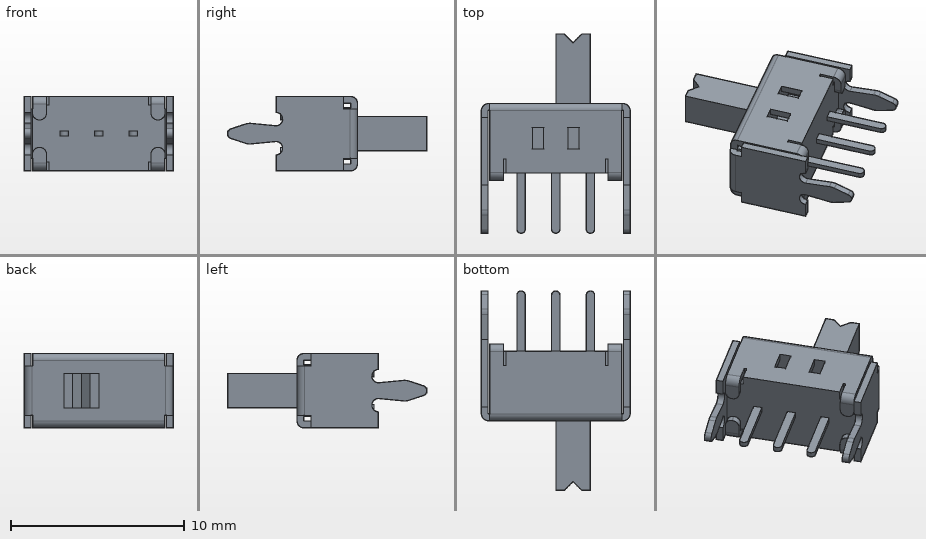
import cadquery as cq


width = 8.6
height = 4.3
length = 11.5
lever_reach = 4.0
pin_end = lever_reach - length

sheet = 0.4
bend_inner = 0.05
bend_outer = sheet + bend_inner
half_width = width / 2
half_height = height / 2
bend_start_x = half_width - bend_outer
roof_half_width = 3.82
roof_length = 4.0
roof_underside = half_height - sheet

wall_length = 4.7
relief_length = 0.8
relief_height = 0.72
notch_radius = 0.38
notch_center = 0.84
shoulder_start = (-6.14, 0.6)
shoulder_end = (-6.45, 0.56)
leg_tip_start = (-7.29, 0.29)

tab_width = 0.8
tab_corner_radius = 0.39
tab_reach = 1.36
slot_width = 0.14
slot_length = 0.8
slot_center = roof_half_width - tab_width - slot_width / 2

window_width = 0.64
window_length = 1.22
window_offset = 1.02
window_center_y = -2.01
chamber_width = 5.2
chamber_depth = 1.3

base_back = 4.02
step_half_height = 1.5
corner_relief_depth = 0.1

lever_size = 2.0
lever_center_x = lever_size / 2
groove_depth = lever_size / 4

pin_pitch = 2.0
pin_width = 0.5
pin_thickness = 0.3


def box(x_range, y_range, z_range):
    """Axis-aligned box between pairs of limits."""
    sizes = [high - low for low, high in (x_range, y_range, z_range)]
    corner = (x_range[0], y_range[0], z_range[0])
    return cq.Workplane("XY").box(*sizes, centered=False).translate(corner)


def make_base():
    """Plastic base: lower at the front, relieved at the back corners, hollow below the windows.

    A thin band at the back rises flush with the roof and floor between the tabs.
    """
    across = (-roof_half_width, roof_half_width)
    front = box(across, (-relief_length, -sheet), (-step_half_height, step_half_height))
    base = front.union(box(across, (-base_back, -relief_length), (-roof_underside, roof_underside)))

    slot_start = slot_center - slot_width / 2
    relief = box(
        (slot_start, roof_half_width),
        (-base_back, slot_length - roof_length),
        (roof_underside - corner_relief_depth, roof_underside),
    )
    relief = relief.union(relief.mirror("YZ"))
    base = base.cut(relief).cut(relief.mirror("XY"))

    chamber = box(
        (-chamber_width / 2, chamber_width / 2),
        (window_center_y - window_length / 2, window_center_y + window_length / 2),
        (roof_underside - chamber_depth, roof_underside),
    )
    back_band = box((-slot_start, slot_start), (-base_back, -roof_length), (-half_height, half_height))
    return base.cut(chamber).union(back_band)


def make_channel():
    """Front wall, roof and floor, with round outer front edges, roof windows and tab slots."""
    across = (-roof_half_width, roof_half_width)
    outer = box(across, (-roof_length, 0), (-half_height, half_height))
    outer = outer.edges("|X and >Y").fillet(sheet)
    channel = outer.cut(box(across, (-roof_length, -sheet), (-roof_underside, roof_underside)))

    windows = (
        cq.Workplane("XY", origin=(0, window_center_y, roof_underside))
        .pushPoints([(-window_offset, 0), (window_offset, 0)])
        .rect(window_width, window_length)
        .extrude(sheet)
    )
    slots = (
        cq.Workplane("XY", origin=(0, slot_length / 2 - roof_length, -half_height))
        .pushPoints([(-slot_center, 0), (slot_center, 0)])
        .rect(slot_width, slot_length)
        .extrude(height)
    )
    return channel.cut(windows).cut(slots)


def make_tab():
    """Upper tab on the +X side: a quarter bend, then a flat end rounded across its width."""
    bend_z = half_height - bend_outer
    tab_end = half_height - tab_reach
    bent_strip = (
        cq.Workplane("YZ", origin=(roof_half_width - tab_width, 0, 0))
        .moveTo(-roof_length, half_height)
        .radiusArc((-roof_length - bend_outer, bend_z), -bend_outer)
        .lineTo(-roof_length - bend_outer, tab_end)
        .lineTo(-roof_length - bend_inner, tab_end)
        .lineTo(-roof_length - bend_inner, bend_z)
        .radiusArc((-roof_length, roof_underside), bend_inner)
        .close()
        .extrude(tab_width)
    )
    return bent_strip.edges("|Y and <Z").fillet(tab_corner_radius)


def make_side_wall():
    """Wall on the -X side, bent from the front wall and ending in a leg between two notches."""
    notch_outer = notch_center + notch_radius
    notch_inner = notch_center - notch_radius
    wall_end = -wall_length
    notch_bottom = notch_radius - wall_length
    shoulder_y, shoulder_z = shoulder_start
    below_shoulder_y, below_shoulder_z = shoulder_end
    tip_y, tip_z = leg_tip_start
    relief_z = half_height - relief_height

    flat = (
        cq.Workplane("YZ", origin=(-half_width, 0, 0))
        .moveTo(-bend_outer, relief_z)
        .lineTo(-relief_length, relief_z)
        .lineTo(-relief_length, half_height)
        .lineTo(wall_end, half_height)
        .lineTo(wall_end, notch_outer)
        .threePointArc((notch_bottom, notch_center), (wall_end, notch_inner))
        .lineTo(shoulder_y, shoulder_z)
        .tangentArcPoint((below_shoulder_y, below_shoulder_z), relative=False)
        .lineTo(tip_y, tip_z)
        .threePointArc((pin_end, 0), (tip_y, -tip_z))
        .lineTo(below_shoulder_y, -below_shoulder_z)
        .tangentArcPoint((shoulder_y, -shoulder_z), relative=False)
        .lineTo(wall_end, -notch_inner)
        .threePointArc((notch_bottom, -notch_center), (wall_end, -notch_outer))
        .lineTo(wall_end, -half_height)
        .lineTo(-relief_length, -half_height)
        .lineTo(-relief_length, -relief_z)
        .lineTo(-bend_outer, -relief_z)
        .close()
        .extrude(sheet)
    )
    bend = (
        cq.Workplane("XY", origin=(0, 0, -relief_z))
        .moveTo(-roof_half_width, 0)
        .lineTo(-bend_start_x, 0)
        .radiusArc((-half_width, -bend_outer), -bend_outer)
        .lineTo(sheet - half_width, -bend_outer)
        .radiusArc((-bend_start_x, -sheet), bend_inner)
        .lineTo(-roof_half_width, -sheet)
        .close()
        .extrude(2 * relief_z)
    )
    return flat.union(bend)


def make_lever():
    """Square lever with a V groove across its tip."""
    left = lever_center_x - lever_size / 2
    right = lever_center_x + lever_size / 2
    outline = [
        (left, -sheet),
        (right, -sheet),
        (right, lever_reach),
        (lever_center_x + groove_depth, lever_reach),
        (lever_center_x, lever_reach - groove_depth),
        (lever_center_x - groove_depth, lever_reach),
        (left, lever_reach),
    ]
    lever = cq.Workplane("XY", origin=(0, 0, -lever_size / 2))
    return lever.polyline(outline).close().extrude(lever_size)


def make_pin(x):
    """Flat pin with a round tip."""
    tip_start = pin_end + pin_width / 2
    return (
        cq.Workplane("XY", origin=(x, 0, -pin_thickness / 2))
        .moveTo(-pin_width / 2, -base_back)
        .lineTo(-pin_width / 2, tip_start)
        .threePointArc((0, pin_end), (pin_width / 2, tip_start))
        .lineTo(pin_width / 2, -base_back)
        .close()
        .extrude(pin_thickness)
    )


tab = make_tab()
tab_pair = tab.union(tab.mirror("YZ"))
side_wall = make_side_wall()

result = make_base().union(make_channel())
result = result.union(tab_pair).union(tab_pair.mirror("XY"))
result = result.union(side_wall).union(side_wall.mirror("YZ"))
result = result.union(make_lever())
for pin_index in (-1, 0, 1):
    result = result.union(make_pin(pin_index * pin_pitch))